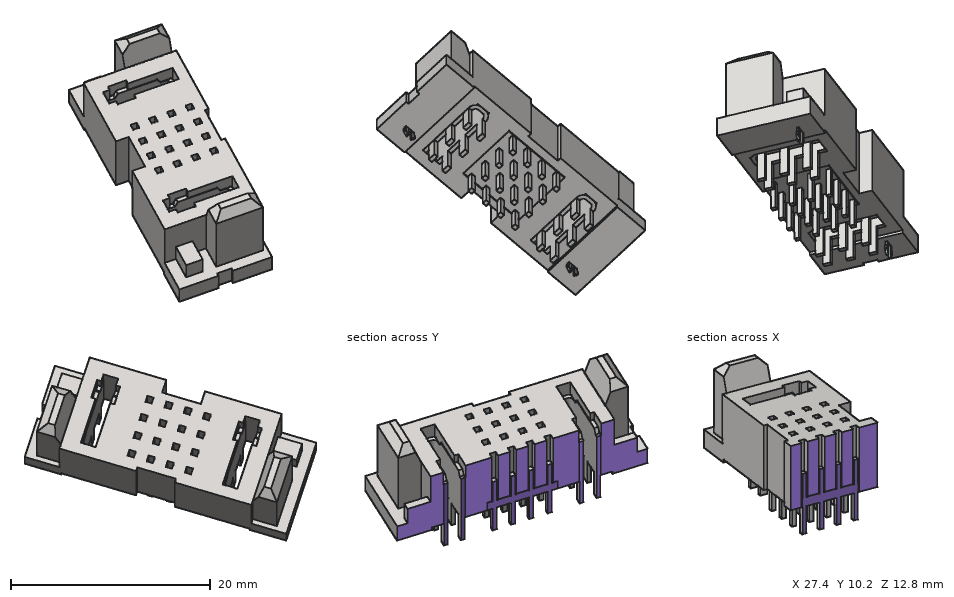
import cadquery as cq


LENGTH = 27.45
WIDTH = 10.15
FLANGE_TOP = 2.05
BLOCK_TOP = 7.6
BLOCK_HALF_LENGTH = 10.07
STANDOFF = 0.33
RELIEF_HALF_LENGTH = 9.88

SIDE_RECESS_LENGTH = 4.05
REAR_RECESS_DEPTH = 0.4
FRONT_RECESS_DEPTH = 1.4
END_NOTCH_WIDTH = 1.56
END_NOTCH_DEPTH = 0.33

TOWER_TOP = 10.07
TOWER_OUTER_X = 12.6
TOWER_CREST_X = 10.98
TOWER_SLOPE_FOOT = 7.45
TOWER_BACK_Y = 4.58
TOWER_FRONT_Y = -0.55
TOWER_CHAMFER = 0.9
KEY_TOP = 4.05
KEY_BACK_Y = -2.03
KEY_FRONT_Y = -3.85

PIN_COUNT = 4
PIN_PITCH = 2.0
PIN_SIZE = 0.5
PIN_TOP = 4.12
PIN_BOTTOM = -2.72
PIN_FIELD_Y = 0.45
SOCKET_SIZE = 0.65
INSERT_LENGTH = 7.68
INSERT_WIDTH = 6.59
INSERT_TOP = 1.37
INSERT_GAP = 0.05

CONTACT_X = 7.44
SHEET = 0.45
CONTACT_INNER_WIDTH = 1.43
CONTACT_BEND_RADIUS = 0.45
CONTACT_TOP = 6.55
CONTACT_CREST_HALF_LENGTH = 2.17
CONTACT_SLOPE_RUN = 0.33
CONTACT_SLOPE_DROP = 0.6
LEG_WIDTH = 0.82
LEG_PITCH = 2.5
SLOT_WIDTH = 1.55
SLOT_BACK_Y = 3.85
SLOT_FRONT_Y = -3.75
POCKET_WIDTH = 2.41
POCKET_BACK_Y = -1.05
POCKET_FRONT_Y = -3.02

CLIP_X = 11.25
CLIP_BACK_Y = -2.8
CLIP_THICKNESS = 0.25
CLIP_ROOT = 0.4
PRONG_INNER_X = 0.22
PRONG_OUTER_X = 0.58
PRONG_TIP_X = 0.35
TOOTH_X = 0.7
UPPER_TOOTH_Z = -0.5
LOWER_TOOTH_Z = -0.82
PRONG_TIP_Z = -1.4

CONTACT_OUTER_WIDTH = CONTACT_INNER_WIDTH + 2 * SHEET
CONTACT_LOW_TOP = CONTACT_TOP - CONTACT_SLOPE_DROP
SIDES = (-1, 1)


def box(x_range, y_range, z_range):
    """Box spanning the given (low, high) ranges."""
    sizes = [high - low for low, high in (x_range, y_range, z_range)]
    corner = (x_range[0], y_range[0], z_range[0])
    return cq.Workplane("XY").box(*sizes, centered=False).translate(corner)


def centered(size, middle=0.0):
    """Range of the given size around a middle."""
    return (middle - size / 2, middle + size / 2)


def at_end(body, side):
    """Body made for the +X end, mirrored when the side is -1."""
    return body if side > 0 else body.mirror("YZ")


def pin_places():
    """Centres of the square field of signal pins."""
    offsets = [(i - (PIN_COUNT - 1) / 2) * PIN_PITCH for i in range(PIN_COUNT)]
    return [(x, PIN_FIELD_Y + y) for x in offsets for y in offsets]


def make_tower():
    """Guide tower at the +X end with a slope towards the block and a chamfered crest."""
    width = TOWER_BACK_Y - TOWER_FRONT_Y
    profile_along_x = [
        (BLOCK_HALF_LENGTH, FLANGE_TOP),
        (TOWER_OUTER_X, FLANGE_TOP),
        (TOWER_OUTER_X, TOWER_TOP - TOWER_CHAMFER),
        (TOWER_OUTER_X - TOWER_CHAMFER, TOWER_TOP),
        (TOWER_CREST_X, TOWER_TOP),
        (BLOCK_HALF_LENGTH, TOWER_SLOPE_FOOT),
    ]
    profile_along_y = [
        (TOWER_FRONT_Y, FLANGE_TOP),
        (TOWER_BACK_Y, FLANGE_TOP),
        (TOWER_BACK_Y, TOWER_TOP - TOWER_CHAMFER),
        (TOWER_BACK_Y - TOWER_CHAMFER, TOWER_TOP),
        (TOWER_FRONT_Y + TOWER_CHAMFER, TOWER_TOP),
        (TOWER_FRONT_Y, TOWER_TOP - TOWER_CHAMFER),
    ]
    tower = cq.Workplane("XZ", origin=(0, TOWER_BACK_Y, 0)).polyline(profile_along_x).close().extrude(width)
    gable = cq.Workplane("YZ").polyline(profile_along_y).close().extrude(LENGTH)
    return tower.intersect(gable)


def make_contact():
    """Power contact at the +X end: an upright U of sheet, open to the front, with six legs."""
    height = CONTACT_TOP - STANDOFF
    depth = SLOT_BACK_Y - SLOT_FRONT_Y
    middle_y = (SLOT_BACK_Y + SLOT_FRONT_Y) / 2
    outside = (
        cq.Workplane("XY", origin=(CONTACT_X, middle_y, STANDOFF))
        .rect(CONTACT_OUTER_WIDTH, depth)
        .extrude(height)
        .edges("|Z and >Y")
        .fillet(CONTACT_BEND_RADIUS + SHEET)
    )
    inside = (
        cq.Workplane("XY", origin=(CONTACT_X, middle_y - SHEET, STANDOFF))
        .rect(CONTACT_INNER_WIDTH, depth)
        .extrude(height)
        .edges("|Z and >Y")
        .fillet(CONTACT_BEND_RADIUS)
    )
    slope_end_y = CONTACT_CREST_HALF_LENGTH + CONTACT_SLOPE_RUN
    side_profile = (
        cq.Workplane("YZ")
        .polyline([
            (SLOT_FRONT_Y, STANDOFF),
            (SLOT_BACK_Y, STANDOFF),
            (SLOT_BACK_Y, CONTACT_LOW_TOP),
            (slope_end_y, CONTACT_LOW_TOP),
            (CONTACT_CREST_HALF_LENGTH, CONTACT_TOP),
            (-CONTACT_CREST_HALF_LENGTH, CONTACT_TOP),
            (-slope_end_y, CONTACT_LOW_TOP),
            (SLOT_FRONT_Y, CONTACT_LOW_TOP),
        ])
        .close()
        .extrude(LENGTH)
    )
    contact = outside.cut(inside).intersect(side_profile)
    sheet_offset = (CONTACT_INNER_WIDTH + SHEET) / 2
    for side in SIDES:
        for leg_y in (-LEG_PITCH, 0, LEG_PITCH):
            leg_x = centered(SHEET, CONTACT_X + side * sheet_offset)
            contact = contact.union(box(leg_x, centered(LEG_WIDTH, leg_y), (PIN_BOTTOM, STANDOFF)))
    return contact


def make_clip():
    """Board clip at the +X end: a flat fork whose two prongs each have two outward teeth."""
    right_edge = [
        (PRONG_OUTER_X, CLIP_ROOT),
        (PRONG_OUTER_X, UPPER_TOOTH_Z),
        (TOOTH_X, UPPER_TOOTH_Z),
        (PRONG_OUTER_X, LOWER_TOOTH_Z),
        (TOOTH_X, LOWER_TOOTH_Z),
        (PRONG_TIP_X, PRONG_TIP_Z),
        (PRONG_INNER_X, PRONG_TIP_Z),
        (PRONG_INNER_X, 0),
    ]
    left_edge = [(-x, z) for x, z in reversed(right_edge)]
    return (
        cq.Workplane("XZ", origin=(CLIP_X, CLIP_BACK_Y, 0))
        .polyline(right_edge + left_edge)
        .close()
        .extrude(CLIP_THICKNESS)
    )


def make_insert():
    """Plate in the underside of the block, carrying all the signal pins."""
    insert = box(centered(INSERT_LENGTH), centered(INSERT_WIDTH, PIN_FIELD_Y), (STANDOFF, INSERT_TOP))
    for x, y in pin_places():
        insert = insert.union(box(centered(PIN_SIZE, x), centered(PIN_SIZE, y), (PIN_BOTTOM, PIN_TOP)))
    return insert


def cut_side_recesses(body):
    """Shallow recess in the back and deeper recess in the front, over the full height."""
    recess_x = centered(SIDE_RECESS_LENGTH)
    full_height = (0, BLOCK_TOP)
    body = body.cut(box(recess_x, (WIDTH / 2 - REAR_RECESS_DEPTH, WIDTH / 2), full_height))
    return body.cut(box(recess_x, (-WIDTH / 2, -WIDTH / 2 + FRONT_RECESS_DEPTH), full_height))


def cut_pin_field(body):
    """Square sockets through the top and the cavity for the insert underneath."""
    for x, y in pin_places():
        body = body.cut(box(centered(SOCKET_SIZE, x), centered(SOCKET_SIZE, y), (INSERT_TOP, BLOCK_TOP)))
    cavity_width = INSERT_WIDTH + 2 * INSERT_GAP
    return body.cut(box(centered(INSERT_LENGTH), centered(cavity_width, PIN_FIELD_Y), (STANDOFF, INSERT_TOP)))


def make_contact_slot():
    """Slot through the block at the +X end, with a wider pocket over the contact's front."""
    slot = box(centered(SLOT_WIDTH, CONTACT_X), (SLOT_FRONT_Y, SLOT_BACK_Y), (STANDOFF, BLOCK_TOP))
    pocket = box(
        centered(POCKET_WIDTH, CONTACT_X), (POCKET_FRONT_Y, POCKET_BACK_Y), (CONTACT_LOW_TOP, BLOCK_TOP)
    )
    return slot.union(pocket)


def make_housing(contacts, clips):
    """Housing, with seats that match the contacts and the clips."""
    body = box(centered(LENGTH), centered(WIDTH), (0, FLANGE_TOP))
    body = body.union(box(centered(2 * BLOCK_HALF_LENGTH), centered(WIDTH), (0, BLOCK_TOP)))
    body = body.cut(box(centered(2 * RELIEF_HALF_LENGTH), centered(WIDTH), (0, STANDOFF)))
    body = cut_side_recesses(body)
    body = cut_pin_field(body)

    notch_x = (LENGTH / 2 - END_NOTCH_DEPTH, LENGTH / 2)
    body = body.cut(box(notch_x, centered(END_NOTCH_WIDTH), (0, FLANGE_TOP)))

    key = box((BLOCK_HALF_LENGTH, TOWER_OUTER_X), (KEY_FRONT_Y, KEY_BACK_Y), (FLANGE_TOP, KEY_TOP))
    for side in SIDES:
        body = body.union(at_end(make_tower(), side))
        body = body.union(at_end(key, side))
        body = body.cut(at_end(make_contact_slot(), side))

    for seated in contacts + clips:
        body = body.cut(seated)
    return body


contacts = [at_end(make_contact(), side) for side in SIDES]
clips = [at_end(make_clip(), side) for side in SIDES]
insert = make_insert()
housing = make_housing(contacts, clips)

bodies = [housing, insert, *contacts, *clips]
result = cq.Compound.makeCompound([body.solids().val() for body in bodies])